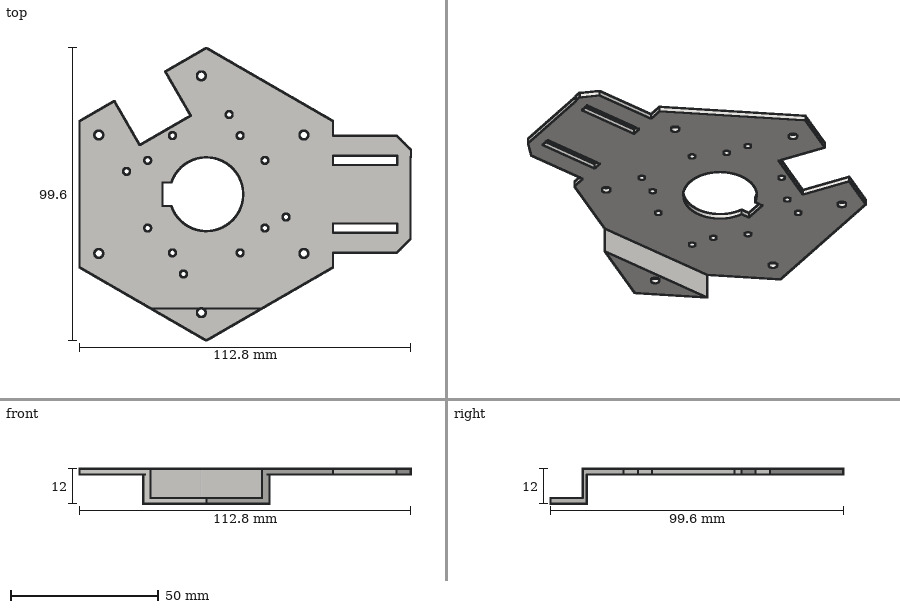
import cadquery as cq
import math

SHEET = 2.0
TOTAL_HEIGHT = 12.0
TOTAL_LENGTH = 112.8
TOTAL_WIDTH = 99.6
HEX_RADIUS = TOTAL_WIDTH / 2
HEX_APOTHEM = HEX_RADIUS * math.cos(math.radians(30))

TAB_TIP_X = TOTAL_LENGTH - HEX_APOTHEM
NIB_REACH = 0.2
NIB_WIDTH = 2.5
TAB_END_X = TAB_TIP_X - NIB_REACH
TAB_HALF_WIDTH = 20.0
TAB_ROOT_X = 33.8
TAB_CHAMFER = 4.7
SLOT_LENGTH = 21.8
SLOT_WIDTH = 3.0
SLOT_OFFSET = 11.5

BORE_DIAMETER = 25.0
RELIEF_REACH = 14.9
RELIEF_WIDTH = 7.9

NOTCH_ANGLE = 120
NOTCH_FLOOR = 25.8
NOTCH_WIDTH = 20.0
NOTCH_SHIFT = 1.2

CORNER_HOLE = 2.9
CORNER_RING_RADIUS = 40.3
CORNER_RING_X = -1.7
SMALL_HOLE = 2.3
INNER_RING_RADIUS = 23.0
INNER_RING_ANGLES = [quarter + turn for quarter in range(0, 360, 90) for turn in (30, 60)]
OUTER_RING_RADIUS = 28.2
OUTER_RING_ANGLES = [74 + turn for turn in range(0, 360, 90)]

GRAZE_DEPTH = 0.05
WEB_OUTER_Y = -(CORNER_RING_RADIUS - CORNER_HOLE / 2 + GRAZE_DEPTH)
WEB_THICKNESS = 1.5
WEB_INNER_Y = WEB_OUTER_Y + WEB_THICKNESS


def ring_points(radius, angles, center_x=0.0):
    """Points on a circle about (center_x, 0)."""
    return [
        (center_x + radius * math.cos(math.radians(a)), radius * math.sin(math.radians(a)))
        for a in angles
    ]


def stepped_hexagon():
    """Pointed hexagon whose -Y corner steps down through a web to a low flange."""
    hexagon = (
        cq.Workplane("XY")
        .polyline(ring_points(HEX_RADIUS, range(30, 390, 60)))
        .close()
        .extrude(TOTAL_HEIGHT)
    )
    step = (
        cq.Workplane("YZ")
        .polyline([
            (HEX_RADIUS, TOTAL_HEIGHT),
            (WEB_OUTER_Y, TOTAL_HEIGHT),
            (WEB_OUTER_Y, SHEET),
            (-HEX_RADIUS, SHEET),
            (-HEX_RADIUS, 0),
            (WEB_INNER_Y, 0),
            (WEB_INNER_Y, TOTAL_HEIGHT - SHEET),
            (HEX_RADIUS, TOTAL_HEIGHT - SHEET),
        ])
        .close()
        .extrude(HEX_RADIUS, both=True)
    )
    return hexagon.intersect(step)


def tab():
    """Chamfered tab with a tiny nib at the upper end of its +X edge."""
    shoulder_x = TAB_END_X - TAB_CHAMFER
    shoulder_y = TAB_HALF_WIDTH - TAB_CHAMFER
    return (
        cq.Workplane("XY", origin=(0, 0, TOTAL_HEIGHT - SHEET))
        .polyline([
            (TAB_ROOT_X, -TAB_HALF_WIDTH),
            (shoulder_x, -TAB_HALF_WIDTH),
            (TAB_END_X, -shoulder_y),
            (TAB_END_X, shoulder_y - NIB_WIDTH),
            (TAB_TIP_X, shoulder_y - NIB_WIDTH),
            (TAB_TIP_X, shoulder_y),
            (TAB_END_X, shoulder_y),
            (shoulder_x, TAB_HALF_WIDTH),
            (TAB_ROOT_X, TAB_HALF_WIDTH),
        ])
        .close()
        .extrude(SHEET)
    )


def tab_slots():
    return (
        cq.Workplane("XY")
        .pushPoints([(HEX_APOTHEM + SLOT_LENGTH / 2, side * SLOT_OFFSET) for side in (-1, 1)])
        .rect(SLOT_LENGTH, SLOT_WIDTH)
        .extrude(TOTAL_HEIGHT)
    )


def bore():
    round_bore = cq.Workplane("XY").circle(BORE_DIAMETER / 2).extrude(TOTAL_HEIGHT)
    relief = (
        cq.Workplane("XY")
        .center(-RELIEF_REACH / 2, 0)
        .rect(RELIEF_REACH, RELIEF_WIDTH)
        .extrude(TOTAL_HEIGHT)
    )
    return round_bore.union(relief)


def notch():
    """Cutter laid along +X, then turned to face its hexagon side."""
    depth = HEX_RADIUS - NOTCH_FLOOR
    return (
        cq.Workplane("XY")
        .center(NOTCH_FLOOR + depth / 2, NOTCH_SHIFT)
        .rect(depth, NOTCH_WIDTH)
        .extrude(TOTAL_HEIGHT)
        .rotate((0, 0, 0), (0, 0, 1), NOTCH_ANGLE)
    )


def drills(points, diameter):
    return cq.Workplane("XY").pushPoints(points).circle(diameter / 2).extrude(TOTAL_HEIGHT)


corner_points = ring_points(CORNER_RING_RADIUS, range(30, 390, 60), CORNER_RING_X)
small_points = (
    ring_points(INNER_RING_RADIUS, INNER_RING_ANGLES)
    + ring_points(OUTER_RING_RADIUS, OUTER_RING_ANGLES)
)

result = (
    stepped_hexagon()
    .union(tab())
    .cut(tab_slots())
    .cut(bore())
    .cut(notch())
    .cut(drills(corner_points, CORNER_HOLE))
    .cut(drills(small_points, SMALL_HOLE))
)